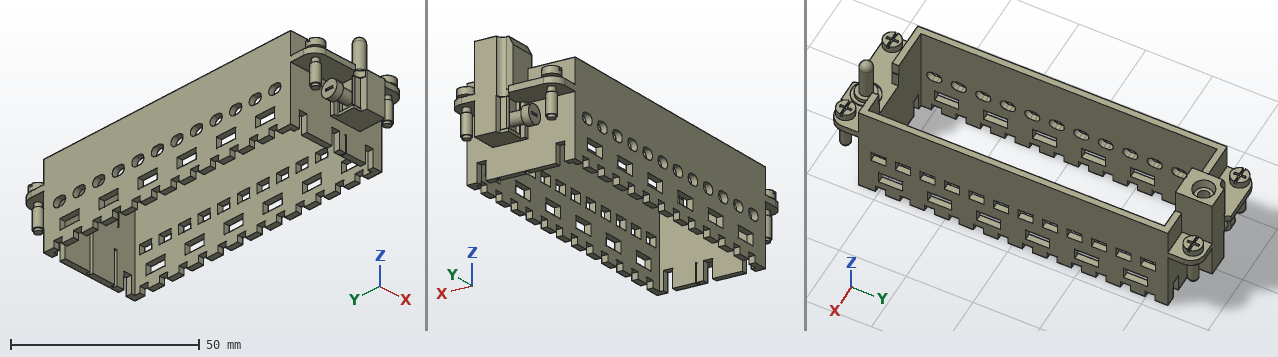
import cadquery as cq


FRAME_X = 34.4
FRAME_Y = 92.6
FRAME_Z = 29.2
WALL = 2.0
END_Y = FRAME_Y / 2
INNER_END_Y = END_Y - WALL

SLOT_COUNT = 12
SLOT_PITCH = 7.33
SLOT_LENGTH = 4.5
SLOT_HEIGHT = 3.2
SLOT_Z = 13.5
WINDOW_COUNT = SLOT_COUNT // 2
WINDOW_PITCH = 2 * SLOT_PITCH
WINDOW_LENGTH = 7.1
WINDOW_HEIGHT = 3.6
WINDOW_Z = 6.25
NOTCH_WIDTH = 3.0
NOTCH_HEIGHT = 2.1
NOTCH_SHIFT = 0.65

END_SLOT_HEIGHT = 5.8
CORNER_SLOT_X = 12.5
CORNER_SLOT_WIDTH = 2.8
CENTRE_SLOT_X = -0.2
CENTRE_SLOT_WIDTH = 2.8
SLIT_X = 3.65
SLIT_WIDTH = 0.4
GROOVE_DEPTH = 1.2
GROOVES = ((-1.2, 1.2, 18.5), (8.0, 0.8, 11.3))

FLANGE_TOP = 21.3
FLANGE_THICKNESS = 2.0
FLANGE_BOTTOM = FLANGE_TOP - FLANGE_THICKNESS
FLANGE_END_Y = 55.3
FLANGE_CORNER_RADIUS = 4.2
FLANGE_NOTCH_RADIUS = 1.87

BLOCK_LEFT = -2.2
BLOCK_RIGHT = 8.9
BLOCK_BOTTOM = 9.0
BLOCK_FACE_X = -0.85
BLOCK_RIB = 1.4
BLOCK_RECESS_Y = 53.3
RECESS_FLAT_END_X = -0.2
BLOCK_SLANT_X = 1.8
BLOCK_SLANT_Y = 53.5
BLOCK_OUTER_X = 2.1
PIN_BLOCK_PROUD = 0.4
POCKET_DEPTH = 1.0
POCKET_START_Y = 48.4
POCKET_END_Y = 53.1
LEDGE_HEIGHT = 1.0
LEDGE_PROUD = 0.2

GAP_CLEARANCE = 0.25
GAP_STEP_Z = 25.6
BUSH_GAP_BOTTOM = 18.7

GUIDE_X = 4.5
GUIDE_Y = 50.5
PIN_RADIUS = 1.95
PIN_TOP = 34.4
COLLAR_RADIUS = 3.2
COLLAR_TOP = 22.8
WASHER_RADIUS = 4.25
WASHER_THICKNESS = 0.4
TOWER_TOP = 36.4
TOWER_CHAMFER_X = 1.4
TOWER_CHAMFER_Z = 2.7
BUSH_COUNTERBORE_DEPTH = 2.5
BUSH_SEAT_RADIUS = 2.7
BUSH_BORE_RADIUS = 1.7
BUSH_BORE_BOTTOM = 24.0

SCREW_X = 13.5
SCREW_Y = 52.0
HEAD_RADIUS = 2.7
HEAD_BOTTOM = 22.3
HEAD_TOP = 24.5
SHANK_RADIUS = 1.2
THREAD_RADIUS = 1.6
THREAD_TOP = 17.6
THREAD_BOTTOM = 11.2
SCREW_TIP = 10.4
DRIVE_WIDTH = 0.65
DRIVE_DEPTH = 0.8
CROSS_LENGTH = 3.4

TERMINAL_Y = 50.95
TERMINAL_Z = 13.4
TERMINAL_END_X = -7.35
TERMINAL_HEAD_LENGTH = 2.45
TERMINAL_HEAD_RADIUS = 2.9
TERMINAL_SHANK_RADIUS = 2.0
TERMINAL_SLOT_LENGTH = 2.6


def box(x_range, y_range, z_range):
    (x0, x1), (y0, y1), (z0, z1) = x_range, y_range, z_range
    return cq.Workplane("XY").box(x1 - x0, y1 - y0, z1 - z0, centered=False).translate((x0, y0, z0))


def span(centre, length):
    return centre - length / 2, centre + length / 2


def cylinder(x, y, radius, z_range):
    z0, z1 = z_range
    return cq.Workplane("XY", origin=(x, y, z0)).circle(radius).extrude(z1 - z0)


def row(count, pitch, shift=0.0):
    return [(i - (count - 1) / 2) * pitch + shift for i in range(count)]


def side_wall_cutters():
    """Windows and bottom notches through both side walls; slots oval at -X and square at +X."""
    across = (-FRAME_X, FRAME_X)
    cutters = []
    for y in row(SLOT_COUNT, SLOT_PITCH):
        oval = (
            cq.Workplane("YZ", origin=(-FRAME_X, y, SLOT_Z))
            .slot2D(SLOT_LENGTH, SLOT_HEIGHT)
            .extrude(FRAME_X)
        )
        cutters.append(oval)
        cutters.append(box((0, FRAME_X), span(y, SLOT_LENGTH), span(SLOT_Z, SLOT_HEIGHT)))
    for y in row(WINDOW_COUNT, WINDOW_PITCH):
        cutters.append(box(across, span(y, WINDOW_LENGTH), span(WINDOW_Z, WINDOW_HEIGHT)))
    for y in row(SLOT_COUNT, SLOT_PITCH, NOTCH_SHIFT):
        cutters.append(box(across, span(y, NOTCH_WIDTH), (0, NOTCH_HEIGHT)))
    return cutters


def end_wall_cutters():
    """Bottom slots of the end walls."""
    cutters = []
    for x in (-CORNER_SLOT_X, CORNER_SLOT_X):
        cutters.append(box(span(x, CORNER_SLOT_WIDTH), (-END_Y, END_Y), (0, END_SLOT_HEIGHT)))
    for x, width in ((CENTRE_SLOT_X, CENTRE_SLOT_WIDTH), (SLIT_X, SLIT_WIDTH)):
        cutters.append(box(span(x, width), (-END_Y, -INNER_END_Y), (0, END_SLOT_HEIGHT)))
    return cutters


def wall_gap_cutters():
    """Gap above the block in each end wall, with a narrow clearance beside the pin block and bush."""
    pin_wall = (-END_Y, -INNER_END_Y)
    bush_wall = (INNER_END_Y, END_Y)
    narrow = (BLOCK_LEFT, BLOCK_RIGHT)
    wide = (BLOCK_LEFT - GAP_CLEARANCE, BLOCK_RIGHT + GAP_CLEARANCE)
    bush_gap = (BLOCK_LEFT, BLOCK_RIGHT + GAP_CLEARANCE)
    return [
        box(narrow, pin_wall, (FLANGE_TOP, FRAME_Z)),
        box(wide, pin_wall, (GAP_STEP_Z, FRAME_Z)),
        box(bush_gap, bush_wall, (BUSH_GAP_BOTTOM, FRAME_Z)),
    ]


def inner_grooves():
    """Upright grooves in the inner face of the +Y wall, which run up behind the block."""
    groove_y = (INNER_END_Y, INNER_END_Y + GROOVE_DEPTH)
    cutters = cq.Workplane("XY")
    for x, width, height in GROOVES:
        cutters = cutters.add(box(span(x, width), groove_y, (0, height)))
    return cutters.combine()


def frame():
    body = box(span(0, FRAME_X), span(0, FRAME_Y), (0, FRAME_Z))
    body = body.cut(box(span(0, FRAME_X - 2 * WALL), span(0, FRAME_Y - 2 * WALL), (0, FRAME_Z)))
    for cutter in side_wall_cutters() + end_wall_cutters() + wall_gap_cutters():
        body = body.cut(cutter)
    return body


def flange():
    """Screw flange of the +Y end with rounded corners and a round notch in its edge."""
    plate = box(span(0, FRAME_X), (INNER_END_Y, FLANGE_END_Y), (FLANGE_BOTTOM, FLANGE_TOP))
    plate = plate.edges("|Z and >Y").fillet(FLANGE_CORNER_RADIUS)
    window = box(span(0, FRAME_X), (0, END_Y), (0, FRAME_Z))
    notch = cylinder(0, FLANGE_END_Y, FLANGE_NOTCH_RADIUS, (FLANGE_BOTTOM, FLANGE_TOP))
    return plate.cut(window).cut(notch)


def terminal_block(outer_y):
    """Block under the +Y flange, open towards -X, with a recess below the flange notch."""
    rib_y = END_Y + BLOCK_RIB
    outline = [
        (BLOCK_LEFT, INNER_END_Y),
        (BLOCK_LEFT, rib_y),
        (BLOCK_FACE_X, rib_y),
        (BLOCK_FACE_X, BLOCK_RECESS_Y),
        (RECESS_FLAT_END_X, BLOCK_RECESS_Y),
        (BLOCK_SLANT_X, BLOCK_SLANT_Y),
        (BLOCK_OUTER_X, outer_y),
        (BLOCK_RIGHT, outer_y),
        (BLOCK_RIGHT, INNER_END_Y),
    ]
    height = FLANGE_TOP - BLOCK_BOTTOM
    block = cq.Workplane("XY", origin=(0, 0, BLOCK_BOTTOM)).polyline(outline).close().extrude(height)
    ledge = box(
        (BLOCK_FACE_X, BLOCK_OUTER_X),
        (rib_y, BLOCK_SLANT_Y + LEDGE_PROUD),
        (BLOCK_BOTTOM, BLOCK_BOTTOM + LEDGE_HEIGHT),
    )
    notch = cylinder(0, FLANGE_END_Y, FLANGE_NOTCH_RADIUS, (FLANGE_BOTTOM, FLANGE_TOP))
    pocket = box(
        (BLOCK_FACE_X, BLOCK_FACE_X + POCKET_DEPTH),
        (POCKET_START_Y, POCKET_END_Y),
        (BLOCK_BOTTOM + LEDGE_HEIGHT, FLANGE_BOTTOM),
    )
    return block.union(ledge).cut(notch).cut(pocket)


def screw(y):
    """Slotted cross-head fixing screw centred on x = 0."""
    body = cylinder(0, y, HEAD_RADIUS, (HEAD_BOTTOM, HEAD_TOP))
    body = body.union(cylinder(0, y, SHANK_RADIUS, (SCREW_TIP, HEAD_BOTTOM)))
    body = body.union(cylinder(0, y, THREAD_RADIUS, (THREAD_BOTTOM, THREAD_TOP)))
    drive_z = (HEAD_TOP - DRIVE_DEPTH, HEAD_TOP)
    body = body.cut(box(span(0, 2 * HEAD_RADIUS), span(y, DRIVE_WIDTH), drive_z))
    return body.cut(box(span(0, DRIVE_WIDTH), span(y, CROSS_LENGTH), drive_z))


def terminal_screw():
    """Screw along X in the pocket of the +Y terminal block."""
    plane = cq.Workplane("YZ", origin=(TERMINAL_END_X, TERMINAL_Y, TERMINAL_Z))
    shank = plane.circle(TERMINAL_SHANK_RADIUS).extrude(BLOCK_FACE_X + POCKET_DEPTH - TERMINAL_END_X)
    head = plane.circle(TERMINAL_HEAD_RADIUS).extrude(TERMINAL_HEAD_LENGTH)
    drive = box(
        (TERMINAL_END_X, TERMINAL_END_X + DRIVE_DEPTH),
        span(TERMINAL_Y, TERMINAL_SLOT_LENGTH),
        span(TERMINAL_Z, DRIVE_WIDTH),
    )
    return head.union(shank).cut(drive)


def end_assembly(outer_y):
    """Flange, block and screws of the +Y end."""
    body = flange().union(terminal_block(outer_y)).union(terminal_screw())
    for x in (-SCREW_X, SCREW_X):
        body = body.union(screw(SCREW_Y).translate((x, 0, 0)))
    return body


def guide_bore():
    """Bore of the bush: tapered counterbore, straight bore and conical bottom, turned about its axis."""
    seat_z = TOWER_TOP - BUSH_COUNTERBORE_DEPTH
    half_profile = [
        (0, TOWER_TOP),
        (COLLAR_RADIUS, TOWER_TOP),
        (BUSH_SEAT_RADIUS, seat_z),
        (BUSH_BORE_RADIUS, seat_z),
        (BUSH_BORE_RADIUS, BUSH_BORE_BOTTOM),
        (0, BUSH_BORE_BOTTOM - BUSH_BORE_RADIUS),
    ]
    bore = cq.Workplane("XZ").polyline(half_profile).close().revolve(360, (0, 0), (0, 1))
    return bore.translate((GUIDE_X, GUIDE_Y, 0))


def guide_bush():
    """Tower on the +Y block with a counterbored guide bore and a chamfered -X edge."""
    profile = [
        (BLOCK_LEFT, FLANGE_BOTTOM),
        (BLOCK_RIGHT, FLANGE_BOTTOM),
        (BLOCK_RIGHT, TOWER_TOP),
        (BLOCK_LEFT + TOWER_CHAMFER_X, TOWER_TOP),
        (BLOCK_LEFT, TOWER_TOP - TOWER_CHAMFER_Z),
    ]
    tower = (
        cq.Workplane("XZ", origin=(0, FLANGE_END_Y, 0))
        .polyline(profile)
        .close()
        .extrude(FLANGE_END_Y - INNER_END_Y)
    )
    recess_z = (FLANGE_BOTTOM, TOWER_TOP)
    recess_y = (FLANGE_END_Y - FLANGE_NOTCH_RADIUS, FLANGE_END_Y)
    tower = tower.cut(cylinder(0, FLANGE_END_Y, FLANGE_NOTCH_RADIUS, recess_z))
    tower = tower.cut(box((BLOCK_LEFT, 0), recess_y, recess_z))
    return tower.cut(guide_bore())


def guide_pin():
    """Round-ended pin with collar and washer on the -Y block."""
    dome_z = PIN_TOP - PIN_RADIUS
    body = cylinder(GUIDE_X, -GUIDE_Y, PIN_RADIUS, (FLANGE_TOP, dome_z))
    dome = cq.Workplane("XY", origin=(GUIDE_X, -GUIDE_Y, dome_z)).sphere(PIN_RADIUS)
    body = body.union(dome)
    body = body.union(cylinder(GUIDE_X, -GUIDE_Y, COLLAR_RADIUS, (FLANGE_TOP, COLLAR_TOP)))
    washer_z = (FLANGE_TOP, FLANGE_TOP + WASHER_THICKNESS)
    return body.union(cylinder(GUIDE_X, -GUIDE_Y, WASHER_RADIUS, washer_z))


bush_end = end_assembly(FLANGE_END_Y)
pin_end = end_assembly(FLANGE_END_Y + PIN_BLOCK_PROUD).mirror("XZ")
result = frame().union(bush_end).union(pin_end).union(guide_bush()).union(guide_pin())
result = result.cut(inner_grooves())